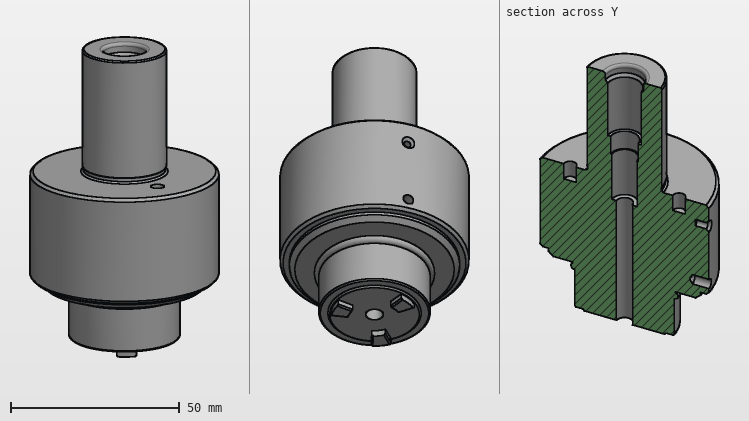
import cadquery as cq
import math

TOTAL_HEIGHT = 91.5
FLANGE_TOP = 53.6
FLANGE_BOTTOM = 21.0
SEAT_BOTTOM = 18.6
SPIGOT_BOTTOM = 2.6
FACE_BOTTOM = 2.0

STEM_DIAMETER = 25.0
STEM_CHAMFER = 0.5
NECK_DIAMETER = 24.5
NECK_BOTTOM = FLANGE_TOP + 0.55
NECK_TOP = FLANGE_TOP + 1.6
NECK_FLARE = 0.6
FLANGE_DIAMETER = 56.0
FLANGE_CHAMFER = 0.9
SEAT_DIAMETER = 50.5
SEAT_CHAMFER_WIDTH = 1.65
SEAT_CHAMFER_HEIGHT = 1.5
SPIGOT_DIAMETER = 33.0
SPIGOT_CHAMFER = 0.5
FACE_DIAMETER = 27.6

RING_SECTION = 2.6

MOUTH_DIAMETER = 12.5
MOUTH_FILLET = 1.0
MOUTH_DEPTH = 2.9
MOUTH_CONE_DEPTH = 1.0
UPPER_BORE_DIAMETER = 11.0
UPPER_BORE_DEPTH = 22.9
MIDDLE_BORE_DIAMETER = 9.0
MIDDLE_BORE_DEPTH = 29.3
LOWER_BORE_DIAMETER = 8.2
LOWER_BORE_DEPTH = 45.75
THROUGH_DIAMETER = 5.2

PIN_HOLE_DIAMETER = 4.0
PIN_HOLE_OFFSET = 18.0
PIN_HOLE_DEPTH = 5.5

INWARD = cq.Vector(1, 0, 0)
SCREW_HEIGHT = 46.0
SCREW_SINK_DIAMETER = 4.0
SCREW_SINK_DEPTH = 0.9
SCREW_HOLE_DIAMETER = 2.1
SCREW_HOLE_DEPTH = 4.6
DRILLED_HEIGHT = 25.1
DRILLED_DIAMETER = 3.2
DRILLED_DEPTH = 5.5
DRILLED_POINT_DEPTH = 0.9

LUG_COUNT = 3
LUG_FIRST_ANGLE = 90
LUG_INNER_RADIUS = 16.0 / 2
LUG_OUTER_RADIUS = 13.0
LUG_INNER_WIDTH = 4.0
LUG_OUTER_WIDTH = 5.95
LUG_CHAMFER = 0.5


def make_body():
    """Turned outline of stem, flange, seat, spigot and end face."""
    stem = STEM_DIAMETER / 2
    neck = NECK_DIAMETER / 2
    flange = FLANGE_DIAMETER / 2
    seat = SEAT_DIAMETER / 2
    spigot = SPIGOT_DIAMETER / 2
    face = FACE_DIAMETER / 2
    face_height = SPIGOT_BOTTOM - FACE_BOTTOM
    outline = [
        (0, TOTAL_HEIGHT),
        (stem - STEM_CHAMFER, TOTAL_HEIGHT),
        (stem, TOTAL_HEIGHT - STEM_CHAMFER),
        (stem, NECK_TOP + stem - neck),
        (neck, NECK_TOP),
        (neck, NECK_BOTTOM),
        (neck + NECK_FLARE, FLANGE_TOP),
        (flange - FLANGE_CHAMFER, FLANGE_TOP),
        (flange, FLANGE_TOP - FLANGE_CHAMFER),
        (flange, FLANGE_BOTTOM + FLANGE_CHAMFER),
        (flange - FLANGE_CHAMFER, FLANGE_BOTTOM),
        (seat, FLANGE_BOTTOM),
        (seat, SEAT_BOTTOM + SEAT_CHAMFER_HEIGHT),
        (seat - SEAT_CHAMFER_WIDTH, SEAT_BOTTOM),
        (spigot, SEAT_BOTTOM),
        (spigot, SPIGOT_BOTTOM + SPIGOT_CHAMFER),
        (spigot - SPIGOT_CHAMFER, SPIGOT_BOTTOM),
        (face, SPIGOT_BOTTOM),
        (face - face_height, FACE_BOTTOM),
        (0, FACE_BOTTOM),
    ]
    return cq.Workplane("XZ").polyline(outline).close().revolve(360, (0, 0, 0), (0, 1, 0))


def make_sealing_ring():
    """Round-section ring half sunk into the spigot."""
    centre_height = SEAT_BOTTOM - RING_SECTION / 2
    return (
        cq.Workplane("XZ")
        .center(-SPIGOT_DIAMETER / 2, centre_height)
        .circle(RING_SECTION / 2)
        .revolve(360, (SPIGOT_DIAMETER / 2, 0, 0), (SPIGOT_DIAMETER / 2, 1, 0))
    )


def make_bore():
    """Stepped through bore with a rounded mouth."""
    mouth = MOUTH_DIAMETER / 2
    upper = UPPER_BORE_DIAMETER / 2
    middle = MIDDLE_BORE_DIAMETER / 2
    lower = LOWER_BORE_DIAMETER / 2
    through = THROUGH_DIAMETER / 2
    fillet_offset = MOUTH_FILLET * (1 - math.sqrt(0.5))
    return (
        cq.Workplane("XZ")
        .moveTo(0, TOTAL_HEIGHT)
        .lineTo(mouth + MOUTH_FILLET, TOTAL_HEIGHT)
        .threePointArc(
            (mouth + fillet_offset, TOTAL_HEIGHT - fillet_offset),
            (mouth, TOTAL_HEIGHT - MOUTH_FILLET),
        )
        .lineTo(mouth, TOTAL_HEIGHT - MOUTH_DEPTH)
        .lineTo(upper, TOTAL_HEIGHT - MOUTH_DEPTH - MOUTH_CONE_DEPTH)
        .lineTo(upper, TOTAL_HEIGHT - UPPER_BORE_DEPTH)
        .lineTo(middle, TOTAL_HEIGHT - UPPER_BORE_DEPTH)
        .lineTo(middle, TOTAL_HEIGHT - MIDDLE_BORE_DEPTH)
        .lineTo(lower, TOTAL_HEIGHT - MIDDLE_BORE_DEPTH)
        .lineTo(lower, TOTAL_HEIGHT - LOWER_BORE_DEPTH)
        .lineTo(through, TOTAL_HEIGHT - LOWER_BORE_DEPTH)
        .lineTo(through, 0)
        .lineTo(0, 0)
        .close()
        .revolve(360, (0, 0, 0), (0, 1, 0))
    )


def make_pin_holes():
    """Pair of blind holes on either side of the stem."""
    return (
        cq.Workplane("XY")
        .workplane(offset=FLANGE_TOP)
        .pushPoints([(-PIN_HOLE_OFFSET, 0), (PIN_HOLE_OFFSET, 0)])
        .circle(PIN_HOLE_DIAMETER / 2)
        .extrude(-PIN_HOLE_DEPTH)
    )


def make_screw_hole():
    """Countersunk blind hole running inward along +X."""
    side = cq.Vector(-FLANGE_DIAMETER / 2, 0, SCREW_HEIGHT)
    sink_radius = SCREW_SINK_DIAMETER / 2
    hole_radius = SCREW_HOLE_DIAMETER / 2
    sink = cq.Solid.makeCone(sink_radius, hole_radius, SCREW_SINK_DEPTH, side, INWARD)
    hole = cq.Solid.makeCylinder(hole_radius, SCREW_HOLE_DEPTH, side, INWARD)
    return cq.Workplane(sink).union(cq.Workplane(hole))


def make_drilled_hole():
    """Blind hole running inward along +X, ending in a drill point."""
    side = cq.Vector(-FLANGE_DIAMETER / 2, 0, DRILLED_HEIGHT)
    radius = DRILLED_DIAMETER / 2
    hole = cq.Solid.makeCylinder(radius, DRILLED_DEPTH, side, INWARD)
    hole_end = side + INWARD * DRILLED_DEPTH
    point = cq.Solid.makeCone(radius, 0, DRILLED_POINT_DEPTH, hole_end, INWARD)
    return cq.Workplane(hole).union(cq.Workplane(point))


def make_lug(angle):
    """Drive lug widening outward, with chamfered lower side edges."""
    inner_half = LUG_INNER_WIDTH / 2
    outer_half = LUG_OUTER_WIDTH / 2
    inner_reach = math.sqrt(LUG_INNER_RADIUS**2 - inner_half**2)
    outer_reach = math.sqrt(LUG_OUTER_RADIUS**2 - outer_half**2)
    lug = (
        cq.Workplane("XY")
        .moveTo(inner_reach, -inner_half)
        .lineTo(outer_reach, -outer_half)
        .threePointArc((LUG_OUTER_RADIUS, 0), (outer_reach, outer_half))
        .lineTo(inner_reach, inner_half)
        .threePointArc((LUG_INNER_RADIUS, 0), (inner_reach, -inner_half))
        .close()
        .extrude(SPIGOT_BOTTOM)
        .faces("<Z")
        .edges("%LINE")
        .chamfer(LUG_CHAMFER)
    )
    return lug.rotate((0, 0, 0), (0, 0, 1), angle)


result = make_body().union(make_sealing_ring())
for index in range(LUG_COUNT):
    result = result.union(make_lug(LUG_FIRST_ANGLE + index * 360 / LUG_COUNT))
result = result.cut(make_bore())
result = result.cut(make_pin_holes())
result = result.cut(make_screw_hole())
result = result.cut(make_drilled_hole())